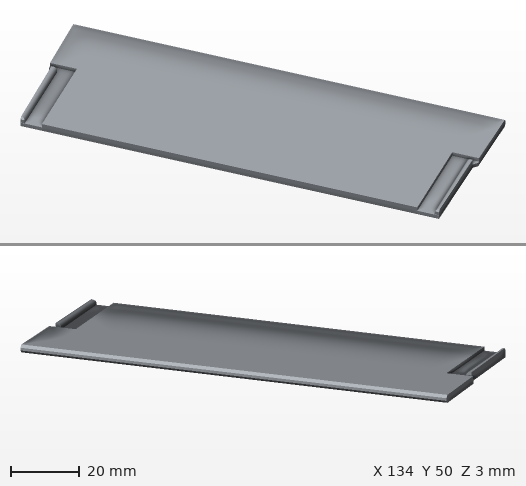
import cadquery as cq

length = 134.0
depth = 50.0
thickness = 2.4
rear_bevel = 0.8
rear_y = depth / 2
front_y = -depth / 2

shoulder_half_width = 66.6
ridge_rear_half_width = 65.4
ridge_front_half_width = 65.0
shoulder_y = rear_y - 21.7
neck_y = rear_y - 23.0

recess_floor = 1.2
recess_inner_x = 58.3
recess_rear_y = rear_y - 21.0

ridge_top = 3.0
ridge_inner_x = 63.6
ridge_round = 1.2
ridge_front_y = front_y + 0.1
ridge_front_bevel = 0.7


def make_plate():
    """Flat plate with stepped, tapered sides and a bevelled rear edge."""
    right_side = [
        (length / 2, rear_y),
        (shoulder_half_width, shoulder_y),
        (ridge_rear_half_width, neck_y),
        (ridge_front_half_width, front_y),
    ]
    left_side = [(-x, y) for x, y in reversed(right_side)]
    plate = cq.Workplane("XY").polyline(right_side + left_side).close().extrude(thickness)
    return plate.faces(">Y").edges("|X").chamfer(rear_bevel)


def make_recess():
    """Cutter for the right recess, open to the front and to the side."""
    return (
        cq.Workplane("XY", origin=(0, 0, recess_floor))
        .moveTo(recess_inner_x, front_y)
        .lineTo(length / 2, front_y)
        .lineTo(length / 2, recess_rear_y)
        .lineTo(recess_inner_x, recess_rear_y)
        .close()
        .extrude(thickness)
    )


def make_ridge():
    """Right ridge: follows the tapered side, rounded inwards, set back and bevelled at the front."""
    ridge = (
        cq.Workplane("XY")
        .moveTo(ridge_rear_half_width, neck_y)
        .lineTo(ridge_front_half_width, front_y)
        .lineTo(ridge_inner_x, front_y)
        .lineTo(ridge_inner_x, neck_y)
        .close()
        .extrude(ridge_top)
    )
    ridge = ridge.faces(">Z").edges("<X").fillet(ridge_round)
    front_trim = (
        cq.Workplane("YZ")
        .moveTo(front_y, recess_floor)
        .lineTo(ridge_front_y, recess_floor)
        .lineTo(ridge_front_y, ridge_top - ridge_front_bevel)
        .lineTo(ridge_front_y + ridge_front_bevel, ridge_top)
        .lineTo(front_y, ridge_top)
        .close()
        .extrude(length / 2)
    )
    return ridge.cut(front_trim)


recess = make_recess()
ridge = make_ridge()
result = make_plate()
for cutter in (recess, recess.mirror("YZ")):
    result = result.cut(cutter)
for side_ridge in (ridge, ridge.mirror("YZ")):
    result = result.union(side_ridge)